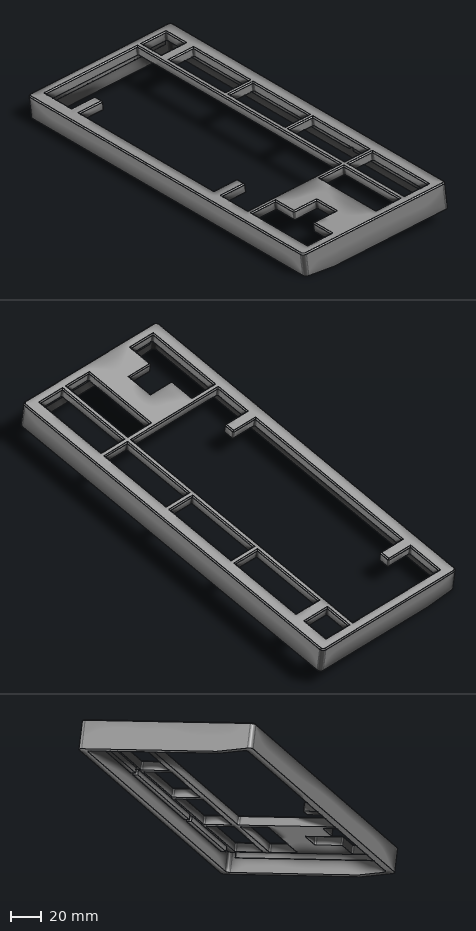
import cadquery as cq

LENGTH = 286.5
DEPTH = 120.0
HEIGHT = 20.0
OVERALL_HEIGHT = 31.5
TILT_ANGLE = 7.0
CORNER_RADIUS = 3.0
EDGE_CHAMFER = 1.0

PLATE_THICKNESS = 6.5
WALL_THICKNESS = 5.0
CAVITY_CORNER_RADIUS = 2.5

RIB_SETBACK = 1.5
RIB_DROP = 3.7
BACK_RIB_END_MARGIN = 19.2
BACK_RIB_GAP = 4.3
BACK_RIB_GAP_OFFSET = 53.3

KEY_PITCH = 19.05
KEY_CLEARANCE = 0.43
WINDOW_CORNER_RADIUS = 1.0
GRID_COLUMNS = 14.25
GRID_ROWS = 5.25

BLOCKER_WIDTH = 8.5
BLOCKER_SPACING = 147.8
BLOCKER_REACH = 19.5

FUNCTION_ROW = 4.25
RIGHT_COLUMN = 11.25
MAIN_COLUMNS = 11
MAIN_WINDOW = (0, 0, MAIN_COLUMNS, 4)
ARROW_ROW = (RIGHT_COLUMN, 0, 3, 1)
UP_ARROW = (RIGHT_COLUMN + 1, 0, 1, 2)
SINGLE_WINDOWS = [
    (0, FUNCTION_ROW, 1, 1),
    (1.5, FUNCTION_ROW, 3, 1),
    (4.75, FUNCTION_ROW, 3, 1),
    (8, FUNCTION_ROW, 3, 1),
    (RIGHT_COLUMN, FUNCTION_ROW, 3, 1),
    (RIGHT_COLUMN, 3, 3, 1),
]


def grid_x(column):
    """X of a column line, with the grid centred on the case."""
    return (column - GRID_COLUMNS / 2) * KEY_PITCH


def grid_y(row):
    """Y of a row line, with the grid centred on the case."""
    return (row - GRID_ROWS / 2) * KEY_PITCH


def key_block(column, row, columns, rows):
    """Full-height block covering a rectangle of keys and the clearance around it."""
    return (
        cq.Workplane("XY")
        .center(grid_x(column + columns / 2), grid_y(row + rows / 2))
        .rect(columns * KEY_PITCH + KEY_CLEARANCE, rows * KEY_PITCH + KEY_CLEARANCE)
        .extrude(HEIGHT)
    )


def window_cutter(block):
    """Round the upright edges of a block and flare it at the top face with mitred corners."""
    rim = block.faces(">Z").wires().val()
    throat = rim.translate(cq.Vector(0, 0, -EDGE_CHAMFER))
    mouth = rim.offset2D(EDGE_CHAMFER, "intersection")[0]
    flare = cq.Solid.makeLoft([throat, mouth], True)
    return block.edges("|Z").fillet(WINDOW_CORNER_RADIUS).union(flare)


def main_window():
    """Block for the main keys, less the two blockers reaching in from the front."""
    block = key_block(*MAIN_WINDOW)
    front_edge = grid_y(0) - KEY_CLEARANCE / 2
    for side in (-1, 1):
        blocker = (
            cq.Workplane("XY")
            .center(grid_x(MAIN_COLUMNS / 2) + side * BLOCKER_SPACING / 2, front_edge)
            .rect(BLOCKER_WIDTH, 2 * BLOCKER_REACH)
            .extrude(HEIGHT)
        )
        block = block.cut(blocker)
    return block


def case_body():
    """Untilted box with rounded corners, a bevelled rim and an open underside."""
    body = (
        cq.Workplane("XY")
        .rect(LENGTH, DEPTH)
        .extrude(HEIGHT)
        .edges("|Z")
        .fillet(CORNER_RADIUS)
        .faces(">Z")
        .edges()
        .chamfer(EDGE_CHAMFER)
    )
    cavity = (
        cq.Workplane("XY")
        .rect(LENGTH - 2 * WALL_THICKNESS, DEPTH - 2 * WALL_THICKNESS)
        .extrude(HEIGHT - PLATE_THICKNESS)
        .edges("|Z")
        .fillet(CAVITY_CORNER_RADIUS)
    )
    return body.cut(cavity)


def rib(x_min, x_max, y_min, y_max):
    """Rib hanging from the underside of the plate."""
    return (
        cq.Workplane("XY")
        .box(x_max - x_min, y_max - y_min, RIB_DROP, centered=False)
        .translate((x_min, y_min, HEIGHT - PLATE_THICKNESS - RIB_DROP))
    )


def wall_ribs():
    """Three ribs along the back wall and one along each side wall."""
    window_to_rib = KEY_CLEARANCE / 2 + RIB_SETBACK
    side_x = grid_x(GRID_COLUMNS) + window_to_rib
    back_y = grid_y(GRID_ROWS) + window_to_rib
    back_end = LENGTH / 2 - BACK_RIB_END_MARGIN
    gap_start = BACK_RIB_GAP_OFFSET - BACK_RIB_GAP / 2
    gap_end = BACK_RIB_GAP_OFFSET + BACK_RIB_GAP / 2
    wall_x = LENGTH / 2 - WALL_THICKNESS
    wall_y = DEPTH / 2 - WALL_THICKNESS
    side_end = grid_y(GRID_ROWS)
    return [
        rib(-back_end, -gap_end, back_y, wall_y),
        rib(-gap_start, gap_start, back_y, wall_y),
        rib(gap_end, back_end, back_y, wall_y),
        rib(-wall_x, -side_x, -side_end, side_end),
        rib(side_x, wall_x, -side_end, side_end),
    ]


window_blocks = [key_block(*window) for window in SINGLE_WINDOWS]
window_blocks.append(key_block(*ARROW_ROW).union(key_block(*UP_ARROW)))
window_blocks.append(main_window())

case = case_body()
for wall_rib in wall_ribs():
    case = case.union(wall_rib)
for block in window_blocks:
    case = case.cut(window_cutter(block))

tilted = case.rotate((0, 0, 0), (1, 0, 0), TILT_ANGLE)
desk_level = tilted.val().BoundingBox().zmax - OVERALL_HEIGHT
below_desk = (
    cq.Workplane("XY")
    .workplane(offset=desk_level)
    .rect(2 * LENGTH, 2 * DEPTH)
    .extrude(-HEIGHT)
)
result = tilted.cut(below_desk).translate((0, 0, -desk_level))